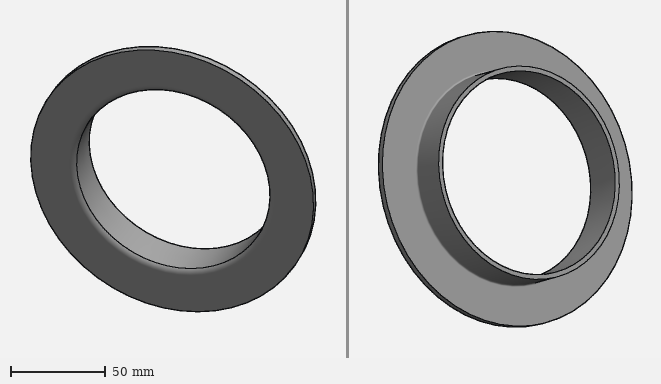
import cadquery as cq
import math

flange_diameter = 158.0
flange_thickness = 4.0
tube_diameter = 114.3
collar_length = 25.0
throat_wall = 3.2
end_wall = 2.6
mouth_radius = 4.0
root_radius = 1.0

flange_radius = flange_diameter / 2
tube_radius = tube_diameter / 2
throat_radius = tube_radius - throat_wall
end_bore_radius = tube_radius - end_wall
throat_depth = flange_thickness / 2

mouth_width = math.sqrt(mouth_radius**2 - (mouth_radius - throat_depth) ** 2)
lip_radius = throat_radius + mouth_width


def collar_profile():
    """Half section in the YZ plane: Y runs along the ring axis, Z is the radius."""
    return (
        cq.Workplane("YZ")
        .moveTo(0, lip_radius)
        .lineTo(0, flange_radius)
        .lineTo(flange_thickness, flange_radius)
        .lineTo(flange_thickness, tube_radius + root_radius)
        .radiusArc((flange_thickness + root_radius, tube_radius), -root_radius)
        .lineTo(collar_length, tube_radius)
        .lineTo(collar_length, end_bore_radius)
        .lineTo(throat_depth, throat_radius)
        .radiusArc((0, lip_radius), mouth_radius)
        .close()
    )


result = collar_profile().revolve(360, (0, 0, 0), (1, 0, 0))